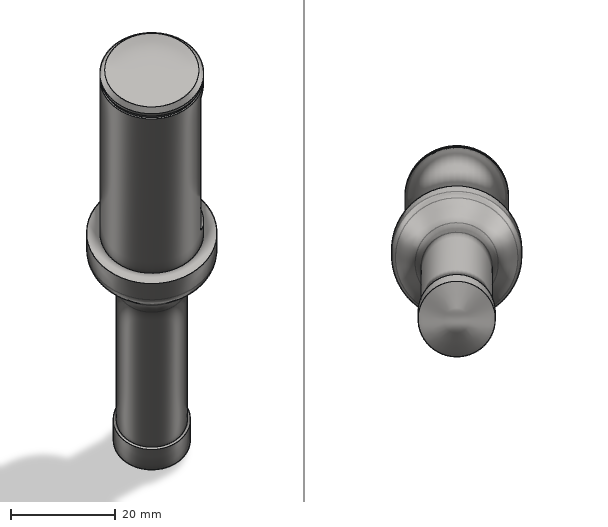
import cadquery as cq
import math

total_length = 116.0
shank_diameter = 20.0
flange_diameter = 25.0
neck_diameter = 13.7
tip_diameter = 14.8

point_height = 2.3
tip_height = 8.6

neck_top = 50.1
flange_bottom = 61.0
flange_top = 66.0

neck_fillet_radius = 5.8
flange_round_radius = 4.0

end_chamfer = 0.9
groove_depth = 0.3
groove_bottom = 113.5
groove_top = 114.4

recess_depth = 1.7
recess_bottom = 69.1
recess_top = 113.1

shank_radius = shank_diameter / 2
flange_radius = flange_diameter / 2
neck_radius = neck_diameter / 2
tip_radius = tip_diameter / 2


def point_on_arc(center, radius, angle):
    """Point at an angle, in radians, on a circle about the given center."""
    return (center[0] + radius * math.cos(angle), center[1] + radius * math.sin(angle))


def revolve_profile(profile):
    """Revolve a closed radius-height profile about the Z axis."""
    return profile.close().revolve(360, (0, 0, 0), (0, 1, 0))


def make_tip():
    """Cylindrical drill tip with a conical point."""
    profile = (
        cq.Workplane("XZ")
        .moveTo(0, 0)
        .lineTo(tip_radius, point_height)
        .lineTo(tip_radius, tip_height)
        .lineTo(0, tip_height)
    )
    return revolve_profile(profile)


def make_holder_blank():
    """Neck, flange and shank, with a cone tangent to both transition arcs."""
    fillet_center = (neck_radius + neck_fillet_radius, neck_top)
    round_center = (flange_radius - flange_round_radius, flange_bottom)

    center_dr = fillet_center[0] - round_center[0]
    center_dz = round_center[1] - fillet_center[1]
    center_distance = math.hypot(center_dr, center_dz)
    radius_sum = neck_fillet_radius + flange_round_radius
    cone_angle = math.atan2(center_dz, center_dr) - math.acos(radius_sum / center_distance)

    fillet_middle = point_on_arc(fillet_center, neck_fillet_radius, math.pi - cone_angle / 2)
    fillet_end = point_on_arc(fillet_center, neck_fillet_radius, math.pi - cone_angle)
    round_start = point_on_arc(round_center, flange_round_radius, -cone_angle)
    round_middle = point_on_arc(round_center, flange_round_radius, -cone_angle / 2)

    profile = (
        cq.Workplane("XZ")
        .moveTo(0, tip_height)
        .lineTo(neck_radius, tip_height)
        .lineTo(neck_radius, neck_top)
        .threePointArc(fillet_middle, fillet_end)
        .lineTo(*round_start)
        .threePointArc(round_middle, (flange_radius, flange_bottom))
        .lineTo(flange_radius, flange_top)
        .lineTo(shank_radius, flange_top)
        .lineTo(shank_radius, total_length - end_chamfer)
        .lineTo(shank_radius - end_chamfer, total_length)
        .lineTo(0, total_length)
    )
    return revolve_profile(profile)


def make_groove_cutter():
    """Ring that cuts the shallow groove near the shank end."""
    return (
        cq.Workplane("XY", origin=(0, 0, groove_bottom))
        .circle(flange_radius)
        .circle(shank_radius - groove_depth)
        .extrude(groove_top - groove_bottom)
    )


def make_recess_cutter():
    """Trapezoidal prism that cuts the clamping flat across the shank."""
    flat_y = shank_radius - recess_depth
    return (
        cq.Workplane("YZ")
        .moveTo(shank_radius, recess_bottom)
        .lineTo(flat_y, recess_bottom + recess_depth)
        .lineTo(flat_y, recess_top - recess_depth)
        .lineTo(shank_radius, recess_top)
        .close()
        .extrude(shank_radius, both=True)
    )


tip = make_tip()
holder = make_holder_blank().cut(make_groove_cutter()).cut(make_recess_cutter())

result = cq.Compound.makeCompound([holder.solids().val(), tip.val()])